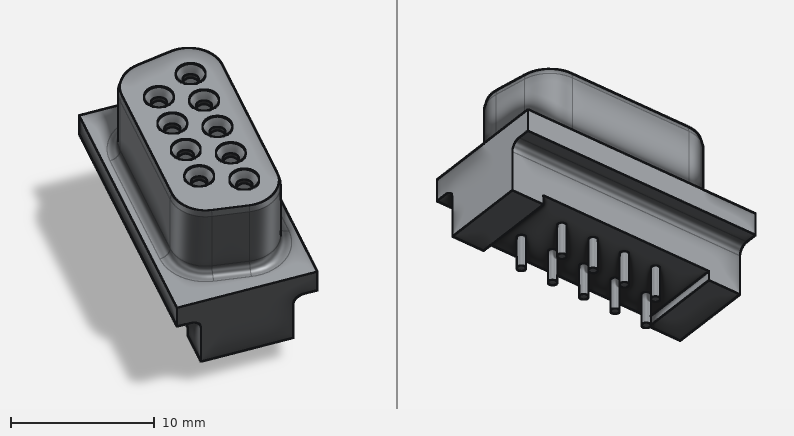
import cadquery as cq
import math

height = 14.0
foot_z = 1.88
recess_z = 2.65
flange_bottom_z = 5.98
flange_top_z = 7.85

length = 20.0
flange_depth = 10.4
body_depth = 6.85
root_radius = 0.75
recess_length = 14.52

shell_depth = 7.85
shell_mid_width = 15.98
side_angle = 10.0
corner_radius = 2.62
rim_chamfer_height = 0.5
rim_chamfer_angle = 15.0

contact_pitch = 2.75
row_spacing = 2.85
rear_row_count = 5
front_row_count = 4
pin_diameter = 0.65
socket_diameter = 1.15
countersink_diameter = 2.08
rim_step = 0.1
countersink_depth = 0.52
socket_depth = 1.0

pick_margin = 0.02


def row_points(count, y):
    """Contact centres of one row, centred on X = 0."""
    first_x = -contact_pitch * (count - 1) / 2
    return [(first_x + i * contact_pitch, y) for i in range(count)]


def make_base():
    """Stepped bar with rounded inner corners and a recess underneath."""
    body_height = flange_bottom_z - foot_z
    flange_height = flange_top_z - flange_bottom_z
    body = cq.Workplane("XY", origin=(0, 0, foot_z)).box(
        length, body_depth, body_height, centered=(True, True, False)
    )
    flange = cq.Workplane("XY", origin=(0, 0, flange_bottom_z)).box(
        length, flange_depth, flange_height, centered=(True, True, False)
    )
    inner_corner = cq.selectors.BoxSelector(
        (-length, -body_depth / 2 - pick_margin, flange_bottom_z - pick_margin),
        (length, body_depth / 2 + pick_margin, flange_bottom_z + pick_margin),
    )
    base = body.union(flange).edges(inner_corner).edges("|X").fillet(root_radius)
    recess = cq.Workplane("XY", origin=(0, 0, foot_z)).box(
        recess_length, body_depth, recess_z - foot_z, centered=(True, True, False)
    )
    return base.cut(recess)


def make_shell():
    """D-shaped block, wider at the rear, with a steep chamfer on its rim."""
    half_depth = shell_depth / 2
    taper = half_depth * math.tan(math.radians(side_angle))
    rear_x = shell_mid_width / 2 + taper
    front_x = shell_mid_width / 2 - taper
    outline = [
        (-rear_x, half_depth),
        (rear_x, half_depth),
        (front_x, -half_depth),
        (-front_x, -half_depth),
    ]
    rim_inset = rim_chamfer_height * math.tan(math.radians(rim_chamfer_angle))
    shell = (
        cq.Workplane("XY", origin=(0, 0, flange_top_z))
        .polyline(outline)
        .close()
        .extrude(height - flange_top_z)
        .edges("|Z")
        .fillet(corner_radius)
    )
    return shell.faces(">Z").chamfer(rim_chamfer_height, rim_inset)


def join_shell(base, shell):
    """Fuse the shell to the flange and round the corner around its foot."""
    foot_edges = cq.selectors.BoxSelector(
        (-length / 2 + pick_margin, -flange_depth / 2 + pick_margin, flange_top_z - pick_margin),
        (length / 2 - pick_margin, flange_depth / 2 - pick_margin, flange_top_z + pick_margin),
    )
    return base.union(shell).edges(foot_edges).fillet(root_radius)


def make_pins(points):
    """Round pins running down from the recess ceiling."""
    return cq.Workplane("XY").pushPoints(points).circle(pin_diameter / 2).extrude(recess_z)


def make_sockets(points):
    """Contact holes: a short straight rim, a conical lead-in and a shallow blind bore."""
    rim_radius = countersink_diameter / 2
    bore_radius = socket_diameter / 2
    cone_top = height - rim_step
    cone_bottom = cone_top - countersink_depth
    floor = height - socket_depth
    half_section = [
        (0, height),
        (rim_radius, height),
        (rim_radius, cone_top),
        (bore_radius, cone_bottom),
        (bore_radius, floor),
        (0, floor),
    ]
    socket = cq.Workplane("XZ").polyline(half_section).close().revolve(360, (0, 0), (0, 1)).val()
    placed = [socket.moved(cq.Location(cq.Vector(x, y, 0))) for x, y in points]
    return cq.Workplane("XY").newObject([cq.Compound.makeCompound(placed)])


rear_row = row_points(rear_row_count, row_spacing / 2)
front_row = row_points(front_row_count, -row_spacing / 2)
contacts = rear_row + front_row

housing = join_shell(make_base(), make_shell()).cut(make_sockets(contacts))
result = housing.union(make_pins(contacts))